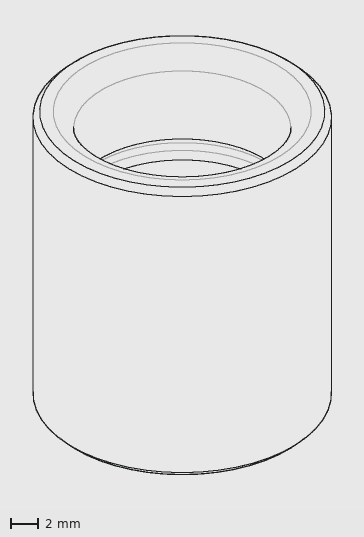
import cadquery as cq
import math

height = 25.0
outer_radius = 11.0
bore_radius = 8.0
edge_chamfer = 0.5
mouth_radius = 1.5

groove_center_z = 16.68
groove_width = 1.82
flank_depth = 0.4
flank_height = 0.58


def make_sleeve():
    """Tube with chamfered outer rims and rounded bore mouths."""
    blank = (
        cq.Workplane("XY")
        .circle(outer_radius)
        .extrude(height)
        .faces("<Z or >Z")
        .chamfer(edge_chamfer)
    )
    bore = cq.Workplane("XY").circle(bore_radius).extrude(height)
    bore_rims = cq.selectors.RadiusNthSelector(0)
    return blank.cut(bore).faces("<Z or >Z").edges(bore_rims).fillet(mouth_radius)


def make_groove():
    """Ring of material removed from the bore wall."""
    half_width = groove_width / 2
    flank_end_radius = bore_radius + flank_depth
    half_chord = half_width - flank_height
    flank_angle = math.atan2(flank_depth, flank_height)
    bottom_radius = flank_end_radius + half_chord * math.tan(flank_angle / 2)
    inner_radius = bore_radius - flank_depth
    return (
        cq.Workplane("XZ")
        .moveTo(inner_radius, groove_center_z - half_width)
        .lineTo(bore_radius, groove_center_z - half_width)
        .lineTo(flank_end_radius, groove_center_z - half_chord)
        .threePointArc(
            (bottom_radius, groove_center_z),
            (flank_end_radius, groove_center_z + half_chord),
        )
        .lineTo(bore_radius, groove_center_z + half_width)
        .lineTo(inner_radius, groove_center_z + half_width)
        .close()
        .revolve(360, (0, 0, 0), (0, 1, 0))
    )


result = make_sleeve().cut(make_groove())